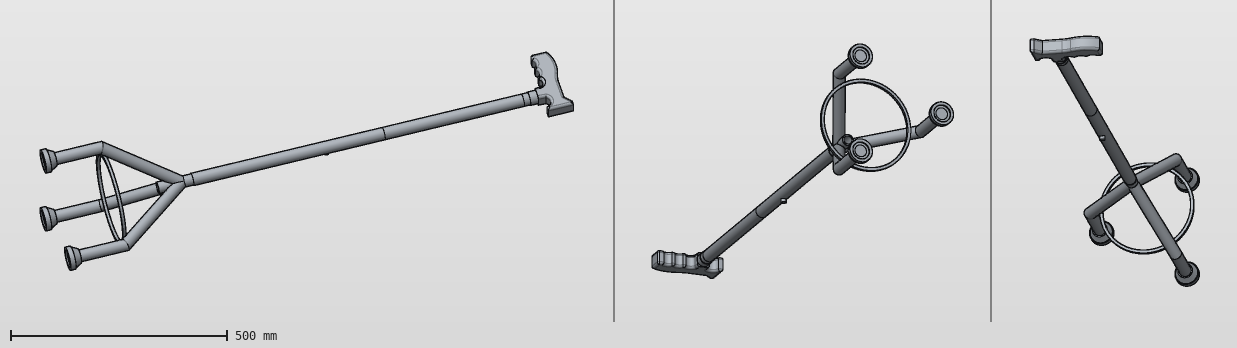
import cadquery as cq
LENGTH = 1240.0

TUBE_R = 15.0
LOWER_TUBE_BOTTOM = 339.0
TUBE_JOINT = 799.0
UPPER_TUBE_TOP = 1133.0

BUTTON_Y = 661.0
BUTTON_R = 6.0
BUTTON_HEIGHT = 7.0

POST_R = 14.0
POST_BOTTOM = 255.0
POST_BORE_R = 10.0
POST_BORE_TOP = 321.0
LEG_COUNT = 3
LEG_R = 29.0 / 2
LEG_SPREAD = 134.0
LEG_BEND_Y = 139.0
LEG_APEX_Y = 312.0

FOOT_R = 56.0 / 2
FOOT_RIM_HEIGHT = 12.0
FOOT_SHOULDER_R = 26.0
FOOT_NECK_R = 17.0
FOOT_HEIGHT = 29.0
FOOT_RECESS_R = 41.0 / 2
FOOT_RECESS_DEPTH = 4.0

RING_R = 222.0 / 2
RING_WIDTH = 7.0
RING_Y = 144.0

COLLAR_R = 16.0
COLLAR_BOTTOM = 1148.0
COLLAR_TOP = 1167.0

HANDLE_LEFT = -107.0
HANDLE_RIGHT = 53.0
HANDLE_THICKNESS = 35.0
HANDLE_FILLET = 6.0
HANDLE_END_TOP = 1221.0
SADDLE_Y = 1225.0
SADDLE_LEFT = -19.0
SADDLE_RIGHT = 27.0
HUMP_START = (-40.0, 1229.0)
GRIP_BOTTOM = 1183.0
HEEL_CHAMFER = 4.0

GROOVE_COUNT = 3
GROOVE_PITCH = 27.0
GROOVE_WIDTH = 20.0
GROOVE_DEPTH = 6.0
FIRST_GROOVE_X = -82.0

NECK_HALF_WIDTH = 14.0
NECK_TOP_HALF_WIDTH = 16.0
NECK_LEFT_TOP = 1180.0
NECK_RIGHT_TOP = 1184.0
NOSE_TOP_X = 43.0
NOSE_BOTTOM_X = 42.0
NOSE_BOTTOM_Y = 1179.0
THUMB_ARC_MIDDLE = (26.0, 1192.0)


def rod(radius, y_start, y_end):
    """Cylinder about the shaft axis."""
    return cq.Workplane("XZ", origin=(0, y_start, 0)).circle(radius).extrude(y_start - y_end)


def around_shaft(body, i):
    """Copy of a body turned to the place of leg number i."""
    return body.rotate((0, 0, 0), (0, 1, 0), i * 360 / LEG_COUNT)


def handle_outline():
    outline = (
        cq.Workplane("XY")
        .moveTo(HANDLE_LEFT, HANDLE_END_TOP)
        .lineTo(HANDLE_LEFT, GRIP_BOTTOM + HEEL_CHAMFER)
        .lineTo(HANDLE_LEFT + HEEL_CHAMFER, GRIP_BOTTOM)
    )
    for i in range(GROOVE_COUNT):
        x = FIRST_GROOVE_X + i * GROOVE_PITCH
        groove_end = (x + GROOVE_WIDTH / 2, GRIP_BOTTOM)
        if i == GROOVE_COUNT - 1:
            groove_end = (-NECK_TOP_HALF_WIDTH, NECK_LEFT_TOP)
        outline = outline.lineTo(x - GROOVE_WIDTH / 2, GRIP_BOTTOM)
        outline = outline.threePointArc((x, GRIP_BOTTOM + GROOVE_DEPTH), groove_end)
    return (
        outline.lineTo(-NECK_HALF_WIDTH, COLLAR_BOTTOM)
        .lineTo(NECK_HALF_WIDTH, COLLAR_BOTTOM)
        .lineTo(NECK_TOP_HALF_WIDTH, NECK_RIGHT_TOP)
        .threePointArc(THUMB_ARC_MIDDLE, (NOSE_BOTTOM_X, NOSE_BOTTOM_Y))
        .lineTo(HANDLE_RIGHT, NOSE_BOTTOM_Y)
        .lineTo(HANDLE_RIGHT, LENGTH)
        .lineTo(NOSE_TOP_X, LENGTH)
        .lineTo(SADDLE_RIGHT, SADDLE_Y)
        .lineTo(SADDLE_LEFT, SADDLE_Y)
        .tangentArcPoint(HUMP_START, relative=False)
        .tangentArcPoint((HANDLE_LEFT, HANDLE_END_TOP), relative=False)
        .close()
    )


def make_handle():
    grip = handle_outline().extrude(HANDLE_THICKNESS / 2, both=True)
    grip = grip.faces("|Z").edges().fillet(HANDLE_FILLET)
    below_collar_top = rod(HANDLE_THICKNESS, 0, COLLAR_TOP)
    collar = rod(COLLAR_R, COLLAR_BOTTOM, COLLAR_TOP)
    stem = rod(TUBE_R, UPPER_TUBE_TOP, COLLAR_BOTTOM)
    return grip.cut(below_collar_top).union(collar).union(stem)


def make_upper_tube():
    return rod(TUBE_R, TUBE_JOINT, UPPER_TUBE_TOP)


def make_lower_tube():
    button = (
        cq.Workplane("XY", origin=(0, BUTTON_Y, 0))
        .circle(BUTTON_R)
        .extrude(-(TUBE_R + BUTTON_HEIGHT))
    )
    return rod(TUBE_R, LOWER_TUBE_BOTTOM, TUBE_JOINT).union(button)


def make_ring():
    return (
        cq.Workplane("XZ", origin=(0, RING_Y - RING_WIDTH / 2, 0))
        .circle(RING_R)
        .circle(RING_R - RING_WIDTH)
        .extrude(-RING_WIDTH)
    )


def make_leg():
    """Leg on the +X side: straight up from the foot, then slanting in to the shaft axis."""
    path = cq.Workplane("XY").polyline(
        [(LEG_SPREAD, FOOT_RECESS_DEPTH), (LEG_SPREAD, LEG_BEND_Y), (0, LEG_APEX_Y)]
    )
    leg_end = cq.Workplane("XZ", origin=(LEG_SPREAD, FOOT_RECESS_DEPTH, 0)).circle(LEG_R)
    return leg_end.sweep(path, transition="right")


def make_tripod():
    tripod = rod(POST_R, POST_BOTTOM, LOWER_TUBE_BOTTOM)
    for i in range(LEG_COUNT):
        tripod = tripod.union(around_shaft(make_leg(), i))
    bore = rod(POST_BORE_R, POST_BOTTOM, POST_BORE_TOP)
    return tripod.cut(bore).cut(make_ring())


def make_foot():
    """Foot on the +X side: a collar of revolution around the end of the leg."""
    return (
        cq.Workplane("XY", origin=(LEG_SPREAD, 0, 0))
        .moveTo(LEG_R, FOOT_RECESS_DEPTH)
        .lineTo(FOOT_RECESS_R, FOOT_RECESS_DEPTH)
        .lineTo(FOOT_RECESS_R, 0)
        .lineTo(FOOT_R, 0)
        .lineTo(FOOT_R, FOOT_RIM_HEIGHT)
        .lineTo(FOOT_SHOULDER_R, FOOT_RIM_HEIGHT)
        .lineTo(FOOT_NECK_R, FOOT_HEIGHT)
        .lineTo(LEG_R, FOOT_HEIGHT)
        .close()
        .revolve(360, (0, 0), (0, 1))
    )


handle = make_handle()
upper_tube = make_upper_tube()
lower_tube = make_lower_tube()
tripod = make_tripod()
ring = make_ring()
feet = [around_shaft(make_foot(), i) for i in range(LEG_COUNT)]

result = cq.Compound.makeCompound(
    [
        handle.val(),
        upper_tube.val(),
        lower_tube.val(),
        tripod.val(),
        ring.val(),
        *[foot.val() for foot in feet],
    ]
)